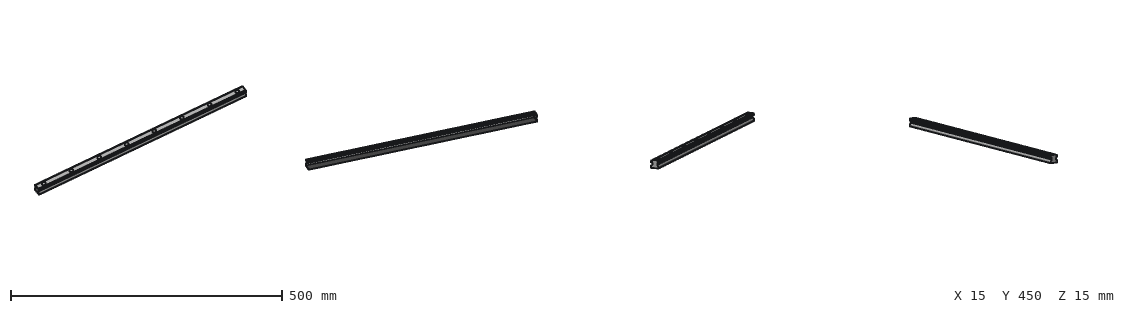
import cadquery as cq

rail_width = 15.0
rail_length = 450.0
rail_height = 15.0
half_width = rail_width / 2

crown_half_width = 5.1
shoulder_half_width = 6.4
shoulder_height = 14.3
bevel_half_width = 7.1
bevel_height = 13.4
flank_top = 12.6
flank_bottom = 11.2

knee_half_width = 5.55
knee_height = 10.35
neck_half_width = 4.75
neck_top = 8.4
neck_bottom = 6.5

base_side_top = neck_bottom - (half_width - neck_half_width)
base_corner_radius = 1.2

hole_count = 8
hole_pitch = 60.0
hole_diameter = 7.5
hole_depth = 0.3


def rail_body():
    """Symmetric rail section extruded along Y, centred on the origin."""
    right_side = [
        (half_width, 0),
        (half_width, base_side_top),
        (neck_half_width, neck_bottom),
        (neck_half_width, neck_top),
        (knee_half_width, knee_height),
        (half_width, flank_bottom),
        (half_width, flank_top),
        (bevel_half_width, bevel_height),
        (shoulder_half_width, shoulder_height),
        (crown_half_width, rail_height),
    ]
    left_side = [(-x, z) for x, z in reversed(right_side)]
    section = cq.Workplane("XZ").polyline(right_side + left_side).close()
    return section.extrude(rail_length / 2, both=True)


def round_base_corners(body):
    """Round the two lengthwise corners between the base slopes and sides."""
    for x in (-half_width, half_width):
        corner = cq.selectors.NearestToPointSelector((x, 0, base_side_top))
        body = body.edges("|Y").edges(corner).fillet(base_corner_radius)
    return body


def mounting_holes():
    """Row of shallow flat-bottomed holes sunk from the top face."""
    top = cq.Workplane("XY").workplane(offset=rail_height)
    row = top.rarray(1, hole_pitch, 1, hole_count)
    return row.circle(hole_diameter / 2).extrude(-hole_depth)


result = round_base_corners(rail_body()).cut(mounting_holes())